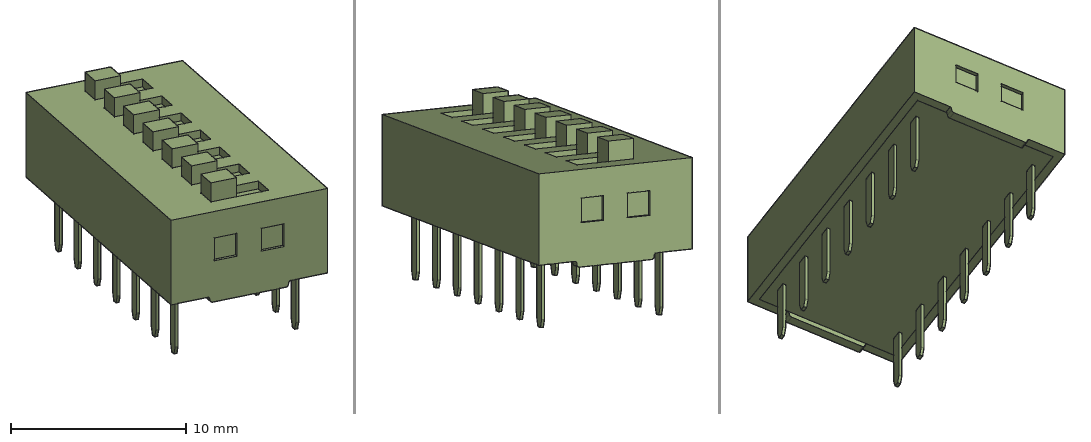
import cadquery as cq

length = 19.08
width = 9.9
height = 5.32
wall = 0.5

switch_count = 7
pitch = 2.54
switch_places = [(i - (switch_count - 1) / 2) * pitch for i in range(switch_count)]

slot_width = 1.35
slot_length = 3.65
slider_width = 1.32
slider_length = 1.62
slider_rise = 1.18

window_size = 1.43
window_depth = 0.2
window_spacing = 2.98
window_height = 2.94

foot_width = 4.98
foot_drop = 0.36
foot_flare = 0.1
foot_corner = 0.15
foot_arc_height = foot_drop / 2

pin_width = 0.61
pin_thickness = 0.2
pin_row_spacing = 7.63
pin_drop = 4.05
tip_length = 0.5
tip_width = 0.3

cavity_length = length - 2 * wall
cavity_width = width - 2 * wall
cavity_height = height - wall


def block(x_size, y_size, z_low, z_high):
    """Box centred on the Z axis between two heights."""
    return cq.Workplane("XY").workplane(offset=z_low).rect(x_size, y_size).extrude(z_high - z_low)


def arc_radius(reach):
    """Radius of a foot arc that starts upright and moves sideways by reach over its height."""
    return (reach**2 + foot_arc_height**2) / (2 * reach)


def make_foot():
    """End-wall standoff profile, flared at the root and rounded at its lower corners."""
    half = foot_width / 2
    flare_radius = arc_radius(foot_flare)
    corner_radius = arc_radius(foot_corner)
    return (
        cq.Workplane("YZ")
        .moveTo(-half - foot_flare, 0)
        .radiusArc((-half, -foot_arc_height), flare_radius)
        .radiusArc((foot_corner - half, -foot_drop), -corner_radius)
        .lineTo(half - foot_corner, -foot_drop)
        .radiusArc((half, -foot_arc_height), -corner_radius)
        .radiusArc((half + foot_flare, 0), flare_radius)
        .close()
        .extrude(wall)
    )


def make_housing():
    """Hollow cover, open below, with a slot per switch and recessed squares in its ends."""
    housing = block(length, width, 0, height)
    housing = housing.cut(block(cavity_length, cavity_width, 0, cavity_height))
    for x in switch_places:
        slot = block(slot_width, slot_length, cavity_height, height)
        housing = housing.cut(slot.translate((x, 0, 0)))
    for wall_start in (-length / 2, length / 2 - wall):
        housing = housing.union(make_foot().translate((wall_start, 0, 0)))
    for end_x in (-length / 2, length / 2):
        for y in (-window_spacing / 2, window_spacing / 2):
            recess = cq.Workplane("XY").box(2 * window_depth, window_size, window_size)
            housing = housing.cut(recess.translate((end_x, y, window_height)))
    return housing


def make_slider(x):
    """Block standing on the base at the -Y end of its slot."""
    slider = block(slider_width, slider_length, cavity_height, height + slider_rise)
    return slider.translate((x, (slider_length - slot_length) / 2, 0))


def make_pin():
    """Flat pin below the base, tapering to a blunt tip."""
    return (
        cq.Workplane("XZ")
        .polyline([
            (-pin_width / 2, 0),
            (-pin_width / 2, tip_length - pin_drop),
            (-tip_width / 2, -pin_drop),
            (tip_width / 2, -pin_drop),
            (pin_width / 2, tip_length - pin_drop),
            (pin_width / 2, 0),
        ])
        .close()
        .extrude(pin_thickness / 2, both=True)
    )


def make_base():
    """Block filling the housing cavity, in one piece with both rows of pins."""
    base = block(cavity_length, cavity_width, 0, cavity_height)
    for x in switch_places:
        for y in (-pin_row_spacing / 2, pin_row_spacing / 2):
            base = base.union(make_pin().translate((x, y, 0)))
    return base


housing = make_housing()
base = make_base()
sliders = [make_slider(x).val() for x in switch_places]

result = cq.Compound.makeCompound([housing.val(), base.val(), *sliders])